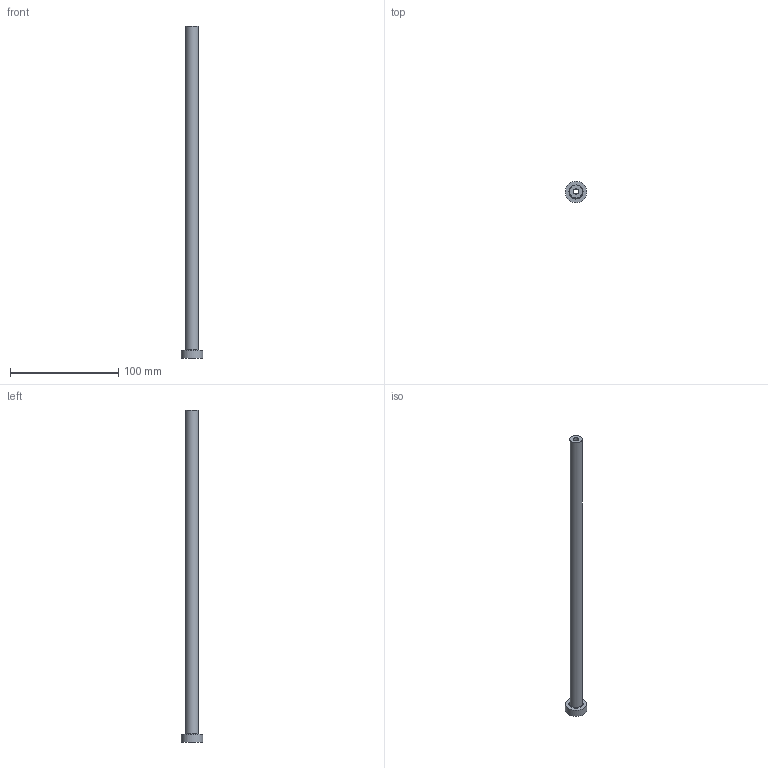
import cadquery as cq

total_length = 307.0

head_diameter = 20.0
head_height = 7.0

shaft_diameter = 12.0
bore_diameter = 5.0
root_fillet_radius = 0.5


def half_profile():
    """Outline of one half of the sleeve section: x is the radius, y the height."""
    head_radius = head_diameter / 2
    shaft_radius = shaft_diameter / 2
    bore_radius = bore_diameter / 2
    return (
        cq.Workplane("XZ")
        .moveTo(bore_radius, 0)
        .lineTo(head_radius, 0)
        .lineTo(head_radius, head_height)
        .lineTo(shaft_radius + root_fillet_radius, head_height)
        .radiusArc((shaft_radius, head_height + root_fillet_radius), root_fillet_radius)
        .lineTo(shaft_radius, total_length)
        .lineTo(bore_radius, total_length)
        .close()
    )


result = half_profile().revolve(360, (0, 0, 0), (0, 1, 0))